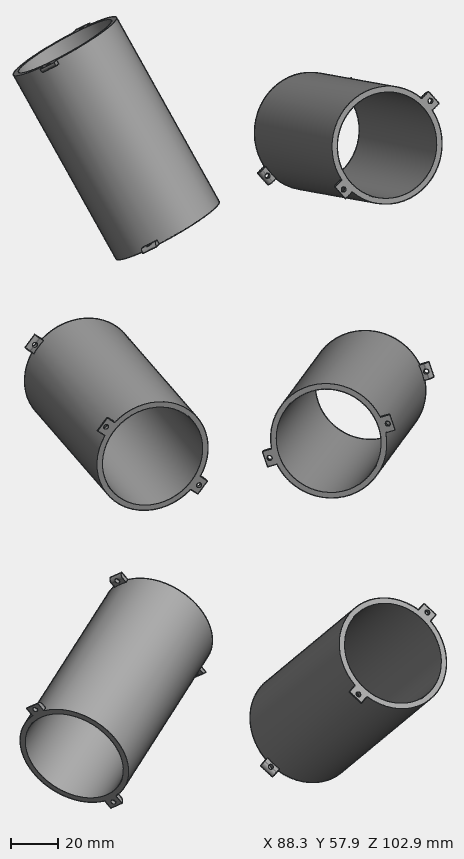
import cadquery as cq

tube_length = 89.9
outer_diameter = 50.0
bore_diameter = 45.0
tilt_angle = 30.0

lug_span = 57.9
lug_width = 7.0
lug_thickness = 2.0
lug_round_radius = lug_thickness
screw_hole_diameter = 2.2
screw_hole_spacing = 53.7

outer_radius = outer_diameter / 2
bore_radius = bore_diameter / 2
lug_tip = lug_span / 2


def make_lug():
    """Upper +Y lug, flush with the tube end and rounded on its inward tip edge."""
    top = tube_length / 2
    root = (outer_radius + bore_radius) / 2
    profile = (
        cq.Workplane("YZ")
        .moveTo(root, top)
        .lineTo(lug_tip, top)
        .radiusArc((lug_tip - lug_round_radius, top - lug_thickness), lug_round_radius)
        .lineTo(root, top - lug_thickness)
        .close()
    )
    lug = profile.extrude(lug_width / 2, both=True)
    screw_hole = (
        cq.Workplane("XY")
        .workplane(offset=top - 2 * lug_thickness)
        .center(0, screw_hole_spacing / 2)
        .circle(screw_hole_diameter / 2)
        .extrude(3 * lug_thickness)
    )
    return lug.cut(screw_hole)


body = cq.Workplane("XY").circle(outer_radius).extrude(tube_length / 2, both=True)
upper_lug = make_lug()
lower_lug = upper_lug.mirror("XY")
for lug in (upper_lug, lower_lug):
    body = body.union(lug).union(lug.mirror("XZ"))

bore = cq.Workplane("XY").circle(bore_radius).extrude(tube_length, both=True)
body = body.cut(bore)

result = body.rotate((0, 0, 0), (0, 1, 0), -tilt_angle)